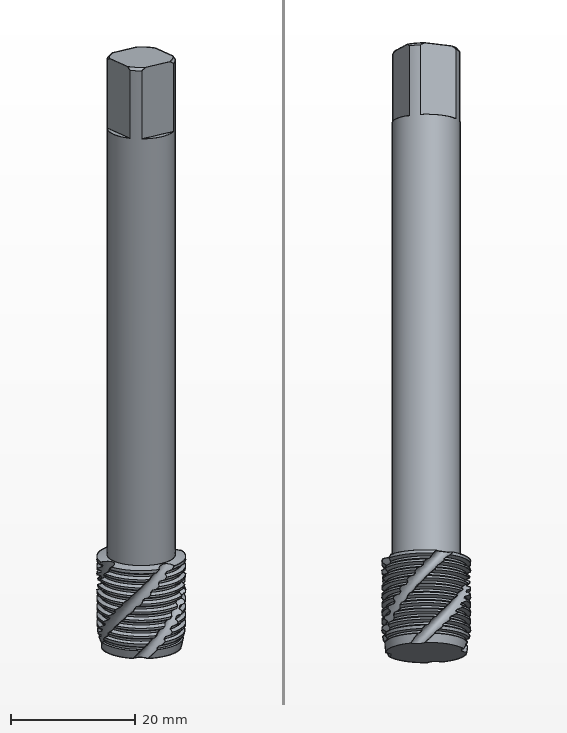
import cadquery as cq

total_length = 100.0

shank_diameter = 11.0
square_width = 9.0
square_length = 12.0
end_chamfer_height = 0.45
end_chamfer_width = 0.4

head_length = 15.5
crest_diameter = 14.3
root_diameter = 13.0
shoulder_height = 0.3
pitch = 1.375
crest_width = 0.35
root_width = 0.35
first_crest_height = 14.85
tooth_count = 11
lead_taper_length = 3.3

flute_count = 4
flute_lead = 43.0
flute_radius = 1.5
flute_floor_radius = 5.8

shank_radius = shank_diameter / 2
crest_radius = crest_diameter / 2
root_radius = root_diameter / 2
shoulder_base = head_length - shoulder_height


def make_shank():
    """Round shank standing on the head, with a square cut at its free end."""
    shank = (
        cq.Workplane("XY", origin=(0, 0, head_length))
        .circle(shank_radius)
        .extrude(total_length - head_length)
        .faces(">Z")
        .chamfer(end_chamfer_height, end_chamfer_width)
    )
    waste = (
        cq.Workplane("XY", origin=(0, 0, total_length - square_length))
        .rect(2 * shank_diameter, 2 * shank_diameter)
        .rect(square_width, square_width)
        .extrude(square_length)
    )
    return shank.cut(waste)


def make_head_blank():
    """Smooth head: tapered tip, full-diameter body and conical shoulder."""
    outline = [
        (0, 0),
        (root_radius, 0),
        (crest_radius, lead_taper_length),
        (crest_radius, shoulder_base),
        (shank_radius, head_length),
        (0, head_length),
    ]
    return cq.Workplane("XZ").polyline(outline).close().revolve(360, (0, 0), (0, 1))


def make_groove(middle):
    """Ring with a trapezium section that fills the gap between two neighbouring teeth."""
    depth = crest_radius - root_radius
    half_floor = root_width / 2
    half_mouth = (pitch - crest_width) / 2
    half_outside = half_floor + 2 * (half_mouth - half_floor)
    outside_radius = root_radius + 2 * depth
    section = [
        (root_radius, middle - half_floor),
        (outside_radius, middle - half_outside),
        (outside_radius, middle + half_outside),
        (root_radius, middle + half_floor),
    ]
    return cq.Workplane("XZ").polyline(section).close().revolve(360, (0, 0), (0, 1))


def make_flute(angle):
    """Round cutter section swept upwards along a right-hand helix, at `angle` under the shoulder."""
    twist = 360 * head_length / flute_lead
    twist_to_shoulder = 360 * shoulder_base / flute_lead
    return (
        cq.Workplane("XY")
        .transformed(rotate=(0, 0, angle - twist_to_shoulder))
        .moveTo(flute_floor_radius + flute_radius, 0)
        .circle(flute_radius)
        .twistExtrude(head_length, twist)
    )


def make_head():
    """Cutting head with annular teeth and helical flutes."""
    head = make_head_blank()
    for gap in range(tooth_count - 1):
        head = head.cut(make_groove(first_crest_height - (gap + 0.5) * pitch))
    for index in range(flute_count):
        head = head.cut(make_flute(index * 360 / flute_count))
    return head


shank = make_shank()
head = make_head()
result = cq.Compound.makeCompound([shank.val(), *head.vals()])